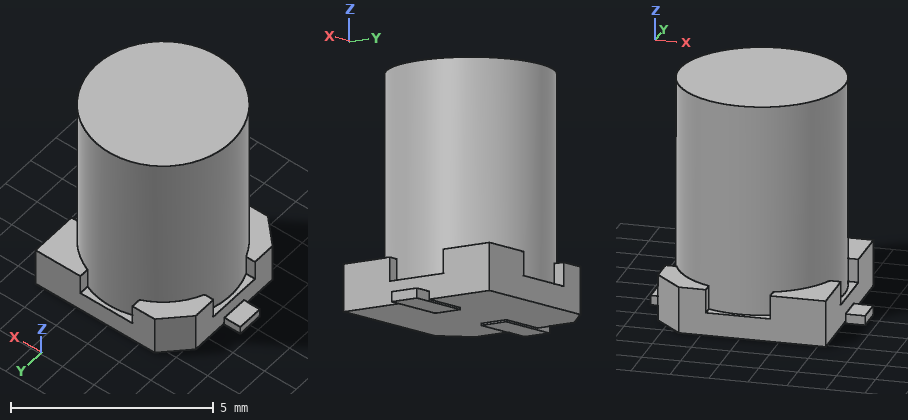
import cadquery as cq

total_height = 6.15
base_side = 4.5
lead_span = 5.51
can_diameter = 4.27

standoff = 0.05
base_top = 1.26
corner_chamfer = 0.725
notch_width = 1.65
notch_floor = 0.65

lead_width = 0.775
lead_thickness = 0.25
lead_inner_gap = 1.9


def block(length, width, bottom, top, center_x=0):
    """Box centred on Y = 0 between two heights."""
    return (
        cq.Workplane("XY", origin=(center_x, 0, bottom))
        .rect(length, width)
        .extrude(top - bottom)
    )


def make_base():
    """Square base with two chamfered -X corners and a notch in the middle of each side."""
    base = block(base_side, base_side, standoff, base_top)
    base = base.edges("|Z and <X").chamfer(corner_chamfer)
    base = base.cut(block(base_side, notch_width, notch_floor, base_top))
    return base.cut(block(notch_width, base_side, notch_floor, base_top))


def make_can():
    """Cylindrical can standing on the notch floor."""
    return (
        cq.Workplane("XY", origin=(0, 0, notch_floor))
        .circle(can_diameter / 2)
        .extrude(total_height - notch_floor)
    )


def make_lead(side):
    """Flat lead on the -X (side = -1) or +X (side = 1) end, partly sunk into the base."""
    length = (lead_span - lead_inner_gap) / 2
    center_x = side * (lead_inner_gap + length) / 2
    return block(length, lead_width, 0, lead_thickness, center_x)


result = make_base().union(make_can())
for side in (-1, 1):
    result = result.union(make_lead(side))